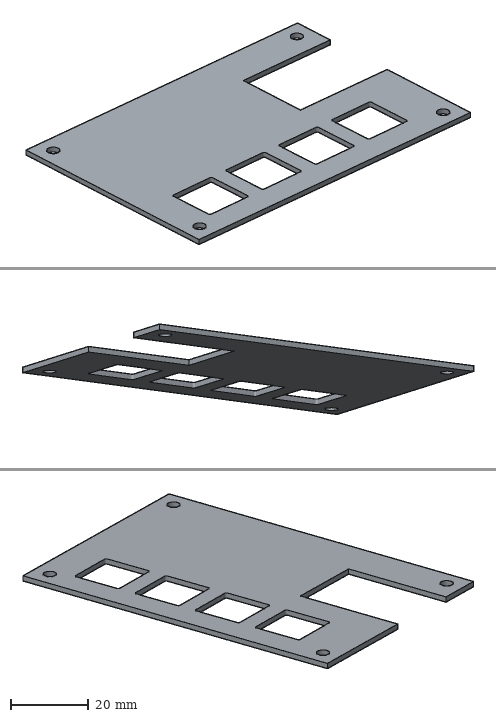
import cadquery as cq

PLATE_WIDTH = 65.0
PLATE_LENGTH = 97.0
PLATE_THICKNESS = 1.5

HOLE_DIAMETER = 3.4
HOLE_EDGE_DISTANCE = 5.0

NOTCH_WIDTH = 21.4
NOTCH_DEPTH = 31.0
NOTCH_LEFT_MARGIN = 12.3

SWITCH_COUNT = 4
SWITCH_SIZE = 14.0
SWITCH_CORNER_RADIUS = 0.5
SWITCH_PITCH = 19.05
SWITCH_COLUMN_CENTER = (17.71, -1.92)
SWITCH_COLUMN_TILT = 0.4

CUT_OVERSHOOT = 1.0
CUT_HEIGHT = PLATE_THICKNESS + 2 * CUT_OVERSHOOT


def make_plate():
    """Flat plate centred in X and Y, with its bottom face at Z = 0."""
    return cq.Workplane("XY").box(
        PLATE_WIDTH, PLATE_LENGTH, PLATE_THICKNESS, centered=(True, True, False)
    )


def cut_plane():
    """Workplane just below the plate on which the cutting tools are drawn."""
    return cq.Workplane("XY").workplane(offset=-CUT_OVERSHOOT)


def make_mounting_holes():
    """Four cylinders on a rectangle inset equally from all plate edges."""
    spacing_x = PLATE_WIDTH - 2 * HOLE_EDGE_DISTANCE
    spacing_y = PLATE_LENGTH - 2 * HOLE_EDGE_DISTANCE
    centers = cut_plane().rect(spacing_x, spacing_y, forConstruction=True).vertices()
    return centers.circle(HOLE_DIAMETER / 2).extrude(CUT_HEIGHT)


def make_notch():
    """Block that opens the notch through the +Y edge of the plate."""
    center_x = -PLATE_WIDTH / 2 + NOTCH_LEFT_MARGIN + NOTCH_WIDTH / 2
    floor_y = PLATE_LENGTH / 2 - NOTCH_DEPTH
    tool_length = NOTCH_DEPTH + CUT_OVERSHOOT
    center_y = floor_y + tool_length / 2
    return cut_plane().center(center_x, center_y).rect(NOTCH_WIDTH, tool_length).extrude(CUT_HEIGHT)


def make_switch_windows():
    """Tilted column of evenly spaced square windows with rounded corners."""
    column = (
        cut_plane()
        .rarray(SWITCH_PITCH, SWITCH_PITCH, 1, SWITCH_COUNT)
        .rect(SWITCH_SIZE, SWITCH_SIZE)
        .extrude(CUT_HEIGHT)
        .edges("|Z")
        .fillet(SWITCH_CORNER_RADIUS)
    )
    tilted = column.rotate((0, 0, 0), (0, 0, 1), SWITCH_COLUMN_TILT)
    return tilted.translate((*SWITCH_COLUMN_CENTER, 0))


result = (
    make_plate()
    .cut(make_mounting_holes())
    .cut(make_notch())
    .cut(make_switch_windows())
)